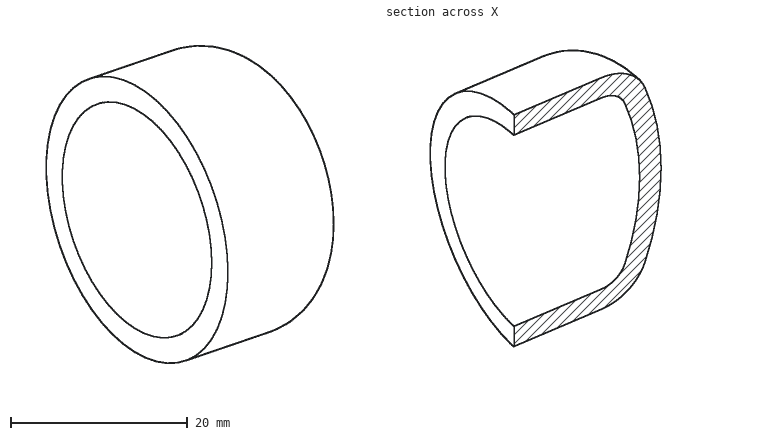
import cadquery as cq
import math

outer_diameter = 33.7
bore_diameter = 27.7
overall_depth = 20.15
skirt_length = 12.0
crown_radius = 37.47

outer_radius = outer_diameter / 2
bore_radius = bore_diameter / 2
wall = outer_radius - bore_radius

dome_rise = overall_depth - skirt_length
knuckle_radius = (2 * crown_radius * dome_rise - outer_radius**2 - dome_rise**2) / (
    2 * (crown_radius - outer_radius)
)

knuckle_center_x = outer_radius - knuckle_radius
knuckle_center_y = skirt_length
crown_center_y = overall_depth - crown_radius
crown_half_angle = math.asin(knuckle_center_x / (crown_radius - knuckle_radius))
knuckle_mid_angle = (crown_half_angle + math.pi / 2) / 2


def knuckle_point(offset, angle):
    """Point on the knuckle, offset inward, at an angle measured from the axis."""
    radius = knuckle_radius - offset
    return (
        knuckle_center_x + radius * math.sin(angle),
        knuckle_center_y + radius * math.cos(angle),
    )


def crown_point(offset, angle):
    """Point on the crown, offset inward, at an angle measured from the axis."""
    radius = crown_radius - offset
    return (radius * math.sin(angle), crown_center_y + radius * math.cos(angle))


def domed_solid(offset):
    """Solid bounded by the outer surface moved inward by the offset."""
    return (
        cq.Workplane("XY")
        .lineTo(outer_radius - offset, 0)
        .lineTo(outer_radius - offset, skirt_length)
        .threePointArc(
            knuckle_point(offset, knuckle_mid_angle),
            knuckle_point(offset, crown_half_angle),
        )
        .threePointArc(
            crown_point(offset, crown_half_angle / 2),
            crown_point(offset, 0),
        )
        .close()
        .revolve(360, (0, 0, 0), (0, 1, 0))
    )


result = domed_solid(0).cut(domed_solid(wall))